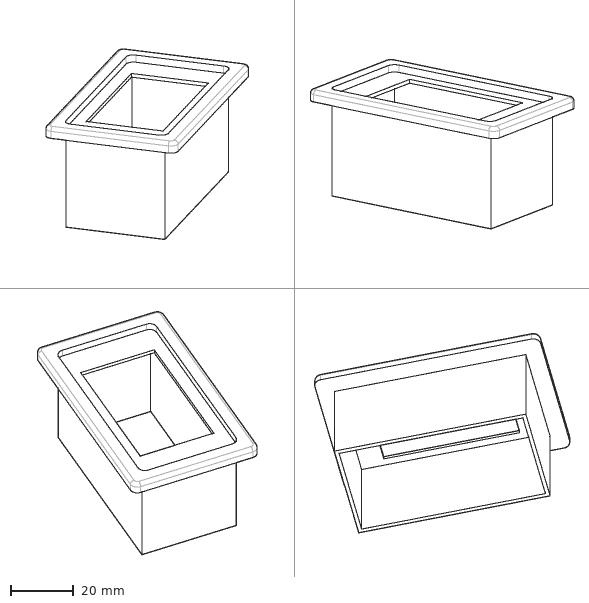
import cadquery as cq

flange_width = 44.3
flange_length = 73.85
flange_thickness = 3.7
corner_radius = 2.45
top_edge_radius = 1.25

rim_width = 4.95
recess_depth = 2.45
window_width = 25.85
window_length = 44.5

housing_width = 33.25
housing_length = 62.6
housing_height = 32.0
wall_thickness = 1.25


def centred_block(width, length, bottom, top):
    """Rectangular block centred on the Z axis, between two heights."""
    return (
        cq.Workplane("XY")
        .workplane(offset=bottom)
        .rect(width, length)
        .extrude(top - bottom)
    )


def make_flange():
    plate = centred_block(flange_width, flange_length, 0, flange_thickness)
    return plate.edges("|Z").fillet(corner_radius).faces(">Z").edges().fillet(top_edge_radius)


def make_recess():
    width = flange_width - 2 * rim_width
    length = flange_length - 2 * rim_width
    floor = flange_thickness - recess_depth
    return centred_block(width, length, floor, flange_thickness).edges("|Z").fillet(corner_radius)


housing = centred_block(housing_width, housing_length, -housing_height, 0)
cavity = centred_block(
    housing_width - 2 * wall_thickness,
    housing_length - 2 * wall_thickness,
    -housing_height,
    0,
)
window = centred_block(window_width, window_length, 0, flange_thickness)

result = make_flange().union(housing).cut(cavity).cut(make_recess()).cut(window)